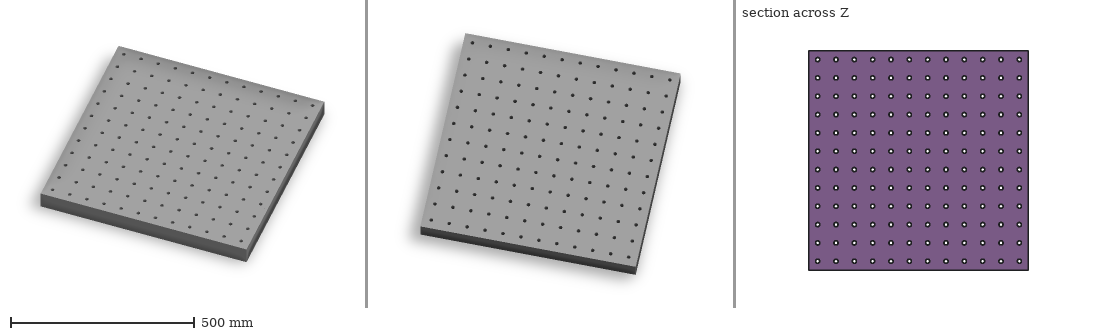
import cadquery as cq

plate_side = 600.0
plate_thickness = 50.0

hole_diameter = 10.11
holes_per_side = 12
hole_pitch = plate_side / holes_per_side


def make_plate():
    """Square plate centred on the origin, with its underside at Z = 0."""
    return cq.Workplane("XY").box(
        plate_side, plate_side, plate_thickness, centered=(True, True, False)
    )


def drill_hole_grid(plate):
    """Drill the grid of through holes, half a pitch in from every edge."""
    return (
        plate.faces(">Z")
        .workplane()
        .rarray(hole_pitch, hole_pitch, holes_per_side, holes_per_side)
        .hole(hole_diameter)
    )


result = drill_hole_grid(make_plate())